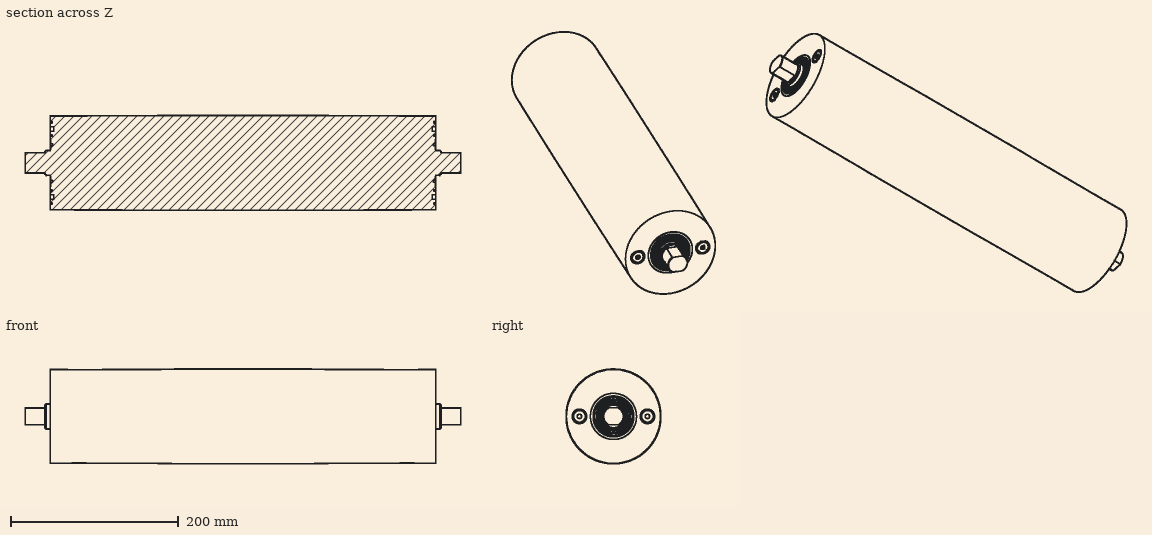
import cadquery as cq

overall_length = 520.0
body_length = 460.0
crown_length = 152.5
crown_diameter = 113.5
end_diameter = 112.5
cap_rim_width = 5.0

shaft_diameter = 24.5
shaft_across_flats = 20.5
shaft_end_chamfer = 0.5

collar_diameter = 30.0
collar_height = 6.0
collar_chamfer = 1.5
seal_groove_depth = 2.5
seal_step_depth = 0.5
seal_rings = [
    (34.0, 38.0, seal_step_depth),
    (41.5, 46.0, seal_groove_depth),
    (49.0, 55.0, seal_step_depth),
]

screw_offset = 40.5
screw_recess_diameter = 17.0
screw_recess_depth = 2.0
screw_head_diameter = 14.0
screw_socket_diameter = 5.0
screw_socket_depth = 4.0

half_body = body_length / 2


def cylinder_x(diameter, start, end, y=0):
    """Cylinder along X from start to end, offset sideways by y."""
    return (
        cq.Workplane("YZ", origin=(start, y, 0))
        .circle(diameter / 2)
        .extrude(end - start)
    )


def ring_x(inner_diameter, outer_diameter, start, end, y=0):
    """Ring along X from start to end, offset sideways by y."""
    return (
        cq.Workplane("YZ", origin=(start, y, 0))
        .circle(outer_diameter / 2)
        .circle(inner_diameter / 2)
        .extrude(end - start)
    )


def crowned_body():
    """Solid roller with a straight middle band and tapered sides."""
    half_crown = crown_length / 2
    rim_start = half_body - cap_rim_width
    return (
        cq.Workplane("XY")
        .moveTo(-half_body, 0)
        .lineTo(-half_body, end_diameter / 2)
        .lineTo(-rim_start, end_diameter / 2)
        .lineTo(-half_crown, crown_diameter / 2)
        .lineTo(half_crown, crown_diameter / 2)
        .lineTo(rim_start, end_diameter / 2)
        .lineTo(half_body, end_diameter / 2)
        .lineTo(half_body, 0)
        .close()
        .revolve(360, (0, 0, 0), (1, 0, 0))
    )


def flatted_shaft():
    """Full-length round shaft cut down to two parallel flats."""
    shaft = cylinder_x(shaft_diameter, -overall_length / 2, overall_length / 2)
    shaft = shaft.faces("<X or >X").chamfer(shaft_end_chamfer)
    flats = cq.Workplane("XY").box(overall_length, shaft_diameter, shaft_across_flats)
    return shaft.intersect(flats)


def seal_collars():
    """Chamfered collar around the shaft on both end faces."""
    reach = half_body + collar_height
    return cylinder_x(collar_diameter, -reach, reach).faces("<X or >X").chamfer(collar_chamfer)


def left_face_cuts():
    """Seal grooves and screw recesses of the -X end face."""
    cuts = cq.Workplane("YZ")
    for inner, outer, depth in seal_rings:
        cuts = cuts.add(ring_x(inner, outer, -half_body, -half_body + depth))
    for y in (-screw_offset, screw_offset):
        cuts = cuts.add(
            ring_x(screw_head_diameter, screw_recess_diameter,
                   -half_body, -half_body + screw_recess_depth, y)
        )
        cuts = cuts.add(
            cylinder_x(screw_socket_diameter, -half_body, -half_body + screw_socket_depth, y)
        )
    return cuts.combine()


face_cuts = left_face_cuts()
result = crowned_body().union(seal_collars()).union(flatted_shaft())
result = result.cut(face_cuts).cut(face_cuts.mirror("YZ"))